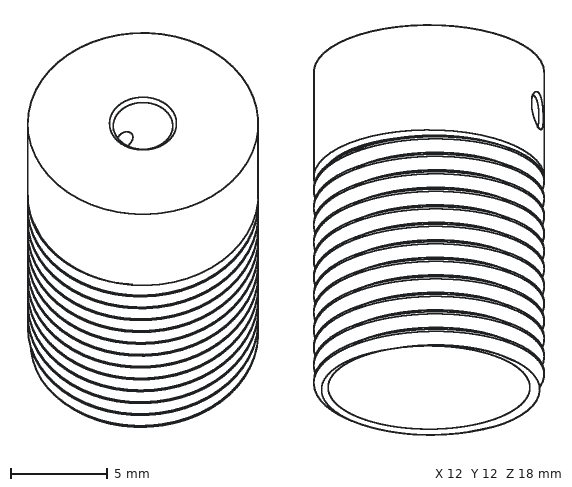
import cadquery as cq
import math

total_height = 18.0
outer_diameter = 12.0
core_diameter = 10.51
turns_on_shank = 12

shank_height = total_height * 2 / 3
head_height = total_height - shank_height
pitch = shank_height / turns_on_shank
outer_radius = outer_diameter / 2
core_radius = core_diameter / 2
flank_angle = math.radians(30)
crest_width = pitch / 8
root_width = crest_width + 2 * (outer_radius - core_radius) * math.tan(flank_angle)
crest_start_height = pitch / 4

bore_diameter = 3.1
bore_depth = head_height
drill_half_angle = math.radians(59)
cross_hole_diameter = 1.6
cross_hole_height = shank_height + head_height / 2
chamfer = 0.2


def make_bore():
    """Blind axial hole with a chamfered mouth and a conical drill point."""
    radius = bore_diameter / 2
    floor = total_height - bore_depth
    tip = floor - radius / math.tan(drill_half_angle)
    return (
        cq.Workplane("XZ")
        .moveTo(0, tip)
        .lineTo(radius, floor)
        .lineTo(radius, total_height - chamfer)
        .lineTo(radius + chamfer, total_height)
        .lineTo(0, total_height)
        .close()
        .revolve(360, (0, 0, 0), (0, 1, 0))
    )


def make_cross_hole():
    """Radial hole from the -X side into the bore."""
    return (
        cq.Workplane("YZ")
        .center(0, cross_hole_height)
        .circle(cross_hole_diameter / 2)
        .extrude(-outer_diameter)
    )


def make_body():
    """Plain head on a cylindrical core that carries the thread."""
    core = cq.Workplane("XY").circle(core_radius).extrude(shank_height)
    head = cq.Workplane("XY").workplane(offset=shank_height).circle(outer_radius).extrude(head_height)
    drilled = core.union(head).cut(make_bore()).cut(make_cross_hole())
    mouth_point = (-outer_radius, 0, cross_hole_height)
    mouth_edge = cq.selectors.NearestToPointSelector(mouth_point)
    return drilled.edges(mouth_edge).chamfer(chamfer)


def make_thread():
    """Right-hand helical ridge around the core, cut flat at both ends of the shank."""
    helix_height = (turns_on_shank + 2) * pitch
    start_height = crest_start_height - pitch

    def helix_edge(radius, height_offset):
        helix = cq.Wire.makeHelix(pitch, helix_height, radius)
        return helix.translate(cq.Vector(0, 0, start_height + height_offset))

    profile_helices = [
        helix_edge(core_radius, -root_width / 2),
        helix_edge(outer_radius, -crest_width / 2),
        helix_edge(outer_radius, crest_width / 2),
        helix_edge(core_radius, root_width / 2),
    ]
    next_helices = profile_helices[1:] + profile_helices[:1]
    faces = []
    for helix, next_helix in zip(profile_helices, next_helices):
        faces.extend(cq.Face.makeRuledSurface(helix, next_helix).Faces())
    for end in (0, 1):
        corners = [helix.positionAt(end) for helix in profile_helices]
        faces.append(cq.Face.makeFromWires(cq.Wire.makePolygon(corners, close=True)))
    ridge = cq.Solid.makeSolid(cq.Shell.makeShell(faces)).fix()

    slab_side = 2 * outer_diameter
    slab = cq.Workplane("XY").box(slab_side, slab_side, shank_height, centered=(True, True, False))
    return slab.intersect(cq.Workplane(ridge))


body = make_body()
thread = make_thread()
result = cq.Compound.makeCompound([body.val(), *thread.solids().vals()])